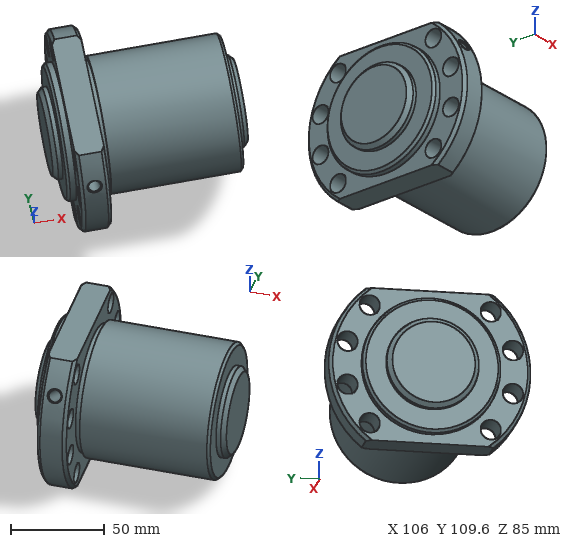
import cadquery as cq
import math

SHAFT_LENGTH = 106.0
SHAFT_DIAMETER = 50.0
SHAFT_CHAMFER = 2.5

SHAFT_OVERHANG = 5.0
BARREL_DIAMETER = 75.0
BARREL_CHAMFER = 1.5
BARREL_START = SHAFT_OVERHANG
BARREL_END = SHAFT_LENGTH - SHAFT_OVERHANG

FLANGE_START = 10.0
FLANGE_THICKNESS = 16.0
FLANGE_END = FLANGE_START + FLANGE_THICKNESS
FLANGE_DIAMETER = 109.6
FLANGE_CHAMFER = 1.9
FLANGE_HEIGHT = 85.0
GROOVE_WIDTH = 3.0
GROOVE_DIAMETER = 70.5

BOLT_HOLE_DIAMETER = 11.0
BOLT_CIRCLE_RADIUS = 46.5
BOLT_ANGLES = [
    side + offset for side in (0, 180) for offset in (-45, -15, 15, 45)
]

PORT_DIAMETER = 6.7
PORT_MOUTH_DIAMETER = 8.0
PORT_ANGLE = 30.0


def cylinder(start, length, diameter):
    """Cylinder along X, centred on the shaft axis."""
    return cq.Workplane("YZ", origin=(start, 0, 0)).circle(diameter / 2).extrude(length)


def make_shaft():
    return cylinder(0, SHAFT_LENGTH, SHAFT_DIAMETER).faces("<X or >X").chamfer(SHAFT_CHAMFER)


def make_barrel():
    barrel = cylinder(BARREL_START, BARREL_END - BARREL_START, BARREL_DIAMETER)
    barrel = barrel.faces("<X or >X").chamfer(BARREL_CHAMFER)
    groove = cylinder(FLANGE_END, GROOVE_WIDTH, BARREL_DIAMETER).cut(
        cylinder(FLANGE_END, GROOVE_WIDTH, GROOVE_DIAMETER)
    )
    return barrel.cut(groove)


def make_flange():
    disc = cylinder(FLANGE_START, FLANGE_THICKNESS, FLANGE_DIAMETER)
    disc = disc.faces("<X or >X").chamfer(FLANGE_CHAMFER)
    between_flats = cq.Workplane("XY").box(
        FLANGE_THICKNESS, FLANGE_DIAMETER, FLANGE_HEIGHT, centered=(False, True, True)
    ).translate((FLANGE_START, 0, 0))
    return disc.intersect(between_flats)


def make_bolt_holes():
    points = [
        (
            BOLT_CIRCLE_RADIUS * math.cos(math.radians(angle)),
            BOLT_CIRCLE_RADIUS * math.sin(math.radians(angle)),
        )
        for angle in BOLT_ANGLES
    ]
    return (
        cq.Workplane("YZ", origin=(FLANGE_START, 0, 0))
        .pushPoints(points)
        .circle(BOLT_HOLE_DIAMETER / 2)
        .extrude(FLANGE_THICKNESS)
    )


def make_port():
    """Countersunk radial hole from the flange rim to the shaft bore."""
    middle = cq.Vector((FLANGE_START + FLANGE_END) / 2, 0, 0)
    outward = cq.Vector(
        0, -math.cos(math.radians(PORT_ANGLE)), math.sin(math.radians(PORT_ANGLE))
    )
    rim_radius = FLANGE_DIAMETER / 2
    drill = cq.Solid.makeCylinder(PORT_DIAMETER / 2, rim_radius, middle, outward)
    mouth_depth = (PORT_MOUTH_DIAMETER - PORT_DIAMETER) / 2
    mouth = cq.Solid.makeCone(
        PORT_MOUTH_DIAMETER / 2,
        PORT_DIAMETER / 2,
        mouth_depth,
        middle + outward * rim_radius,
        outward * -1,
    )
    return cq.Workplane(drill.fuse(mouth))


def make_nut():
    nut = make_barrel().union(make_flange())
    shaft_bore = cylinder(BARREL_START, BARREL_END - BARREL_START, SHAFT_DIAMETER)
    return nut.cut(shaft_bore).cut(make_bolt_holes()).cut(make_port())


shaft = make_shaft()
nut = make_nut()

result = cq.Compound.makeCompound([shaft.val(), *nut.solids().vals()])